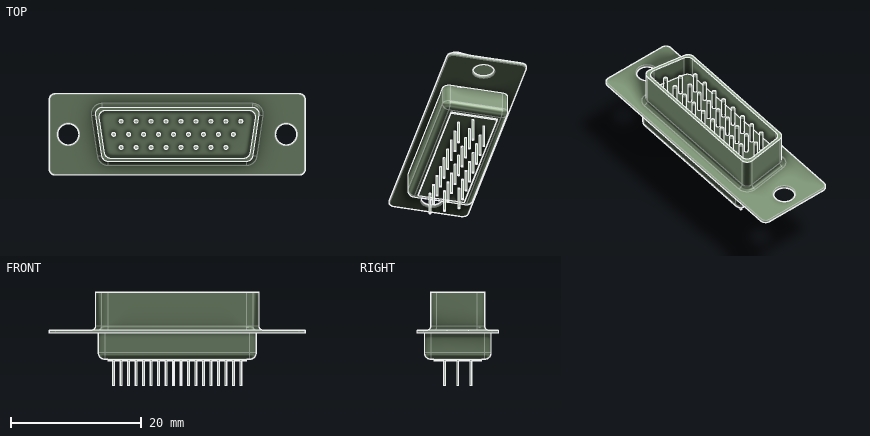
import cadquery as cq
import math


flange_length = 39.2
flange_width = 12.5
sheet_thickness = 0.47
flange_corner_radius = 0.98
flange_edge_radius = 0.1
mounting_hole_diameter = 3.2
mounting_hole_spacing = 33.32
hood_height = 5.8
hood_width = 8.27
hood_mean_length = 24.1
hood_side_angle = 8.5
hood_corner_radius = 1.0
hood_base_fillet = 0.63

block_length = 24.2
block_width = 10.25
block_depth = 4.0
block_radius = 1.0
pad_length = 21.25
pad_width = 7.3
pad_thickness = 0.25
floor_height = 2.6

contact_diameter = 0.6
contact_tip_radius = 0.2
contact_height = 3.53
tail_diameter = 0.3
tail_length = 3.75
contact_row_span = 18.3
row_spacing = 2.0
contacts_per_row = (8, 9, 9)
longest_row = max(contacts_per_row)
contact_pitch = contact_row_span / (longest_row - 1)

flange_top = sheet_thickness
hood_top = flange_top + hood_height
pad_bottom = -block_depth - pad_thickness
tail_end = pad_bottom - tail_length


def d_prism(inset, bottom, top):
    """D-shaped prism with rounded corners, its sides moved inward from the hood's outside by `inset`."""
    angle = math.radians(hood_side_angle)
    half_width = hood_width / 2 - inset
    middle_x = hood_mean_length / 2 - inset / math.cos(angle)
    lean = half_width * math.tan(angle)
    corners = [
        (-middle_x + lean, -half_width),
        (middle_x - lean, -half_width),
        (middle_x + lean, half_width),
        (-middle_x - lean, half_width),
    ]
    outline = cq.Workplane("XY").workplane(offset=bottom).polyline(corners).close()
    return outline.extrude(top - bottom).edges("|Z").fillet(hood_corner_radius)


def make_shell():
    """Flange with rounded edges and the open hood standing on it; the hood's cavity passes through both."""
    mounting_holes = (
        cq.Workplane("XY")
        .rarray(mounting_hole_spacing, 0.4, 2, 1)
        .circle(mounting_hole_diameter / 2)
        .extrude(sheet_thickness)
    )
    flange = (
        cq.Workplane("XY")
        .rect(flange_length, flange_width)
        .extrude(sheet_thickness)
        .edges("|Z")
        .fillet(flange_corner_radius)
        .cut(mounting_holes)
        .faces("|Z")
        .edges()
        .fillet(flange_edge_radius)
    )
    shell = flange.union(d_prism(0, 0, hood_top))
    reach_x = (hood_mean_length + mounting_hole_spacing - mounting_hole_diameter) / 4
    reach_y = (hood_width + flange_width) / 4
    foot_edges = cq.selectors.BoxSelector(
        (-reach_x, -reach_y, flange_top / 2),
        (reach_x, reach_y, flange_top * 3 / 2),
    )
    shell = shell.edges(foot_edges).fillet(hood_base_fillet)
    return shell.cut(d_prism(sheet_thickness, 0, hood_top))


def contact_positions():
    """Contact centres: neighbouring rows are staggered by half a pitch and start at the -X end."""
    positions = []
    middle_row = (len(contacts_per_row) - 1) / 2
    for row, count in enumerate(contacts_per_row):
        stagger = contact_pitch / 4 if row % 2 == 0 else -contact_pitch / 4
        first_x = stagger - contact_row_span / 2
        y = row_spacing * (row - middle_row)
        for place in range(count):
            positions.append((first_x + place * contact_pitch, y))
    return positions


def make_contact():
    """One contact on the Z axis: a thick round-tipped pin above the plug and a thin tail down to its end."""
    pin = (
        cq.Workplane("XY")
        .workplane(offset=floor_height)
        .circle(contact_diameter / 2)
        .extrude(contact_height)
        .faces(">Z")
        .edges()
        .fillet(contact_tip_radius)
    )
    tail = (
        cq.Workplane("XY")
        .workplane(offset=tail_end)
        .circle(tail_diameter / 2)
        .extrude(floor_height - tail_end)
    )
    return pin.union(tail)


def make_insulator():
    """Rear block, pad and plug in one piece with all the contacts."""
    block = (
        cq.Workplane("XY")
        .workplane(offset=-block_depth)
        .rect(block_length, block_width)
        .extrude(block_depth)
        .edges("|Z or <Z")
        .fillet(block_radius)
    )
    pad = (
        cq.Workplane("XY")
        .workplane(offset=pad_bottom)
        .rect(pad_length, pad_width)
        .extrude(pad_thickness)
    )
    plug = d_prism(sheet_thickness, 0, floor_height)
    insulator = block.union(pad).union(plug)
    contact = make_contact()
    for x, y in contact_positions():
        insulator = insulator.union(contact.translate((x, y, 0)))
    return insulator


shell = make_shell()
insulator = make_insulator()

result = cq.Compound.makeCompound([shell.solids().val(), insulator.solids().val()])